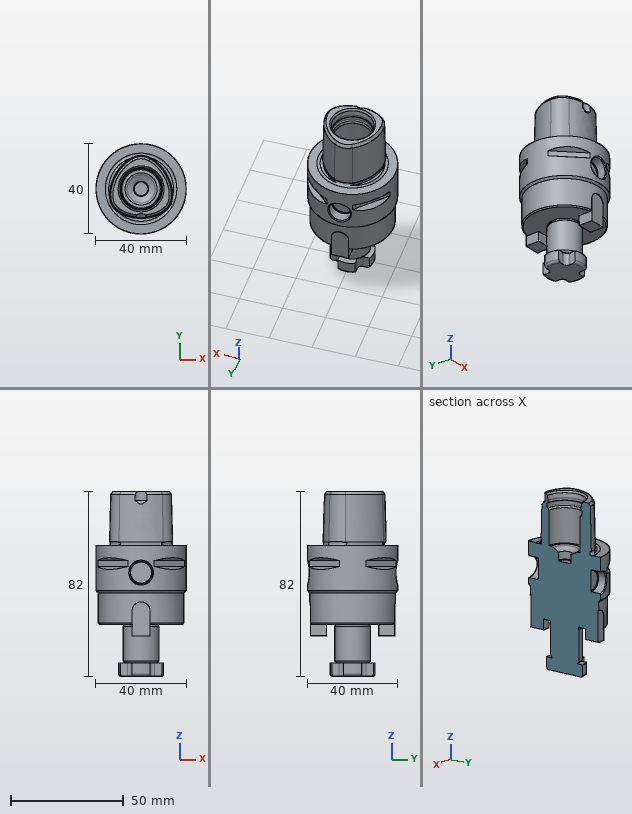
import cadquery as cq
import math


TAPER_RADIUS = 14.0
LOBE_HEIGHT = 0.9
TAPER_SLOPE = 1 / 40
TAPER_FOOT_Z = 1.5
SHANK_TOP_Z = 24.0
RIM_CHAMFER_HEIGHT = 1.4
RIM_CHAMFER_INSET = 1.0
NECK_OVERLAP = 1.0
NECK_STEP = 0.15
FLANK_HALF_ANGLE = 32.0
POINTS_PER_STRETCH = 7

GROOVE_CENTRE_RADIUS = 15.1
GROOVE_CENTRE_Z = 0.75
GROOVE_ROUND = 1.05

NOTCH_RADIUS = 3.0
NOTCH_Y = -13.95
NOTCH_SHOULDER_Z = 20.0

BORE_MOUTH_RADIUS = 10.15
BORE_ENTRY_RADIUS = 9.45
BORE_ENTRY_DEPTH = 0.9
BORE_LIP_RADIUS = 9.0
BORE_LIP_DEPTH = 3.05
BORE_LIP_END_DEPTH = 4.25
BORE_RECESS_DEPTH = 0.5
BORE_RECESS_END_DEPTH = 6.7
BORE_MAIN_RADIUS = 8.5
BORE_MAIN_START_DEPTH = 7.55
BORE_LEDGE_DEPTH = 24.0
BORE_STEP_RADIUS = 7.1
BORE_STEP_HALF_ANGLE = 65.0
DRILL_RADIUS = 12.38 / 2
DRILL_HALF_ANGLE = 59.0
CORE_HOLE_RADIUS = 6.65 / 2
CORE_HOLE_LENGTH = 4.0
CORE_HOLE_BOTTOM_CHAMFER = 0.3

FLANGE_RADIUS = 20.0
FLANGE_BOTTOM_Z = -20.0
BODY_RADIUS = 19.0
BODY_BOTTOM_Z = -35.0
BODY_CHAMFER = 0.6

GRIPPER_Z = -8.0
GRIPPER_FLOOR_DISTANCE = 17.65
GRIPPER_FLOOR_HEIGHT = 2.5
GRIPPER_WALL_ANGLE = 30.0

CROSS_HOLE_Z = -12.0
CROSS_HOLE_RADIUS = 5.0
CROSS_HOLE_RIM_CHAMFER = 0.5
CROSS_HOLE_BOTTOM_RADIUS = 4.65
CROSS_HOLE_BOTTOM_Y = 14.65

KEY_WIDTH = 8.0
KEY_OUTER_Y = 18.7
KEY_INNER_Y = 11.5
KEY_TOP_Z = -25.0
KEY_BOTTOM_Z = -40.0

PILOT_RADIUS = 8.0
PILOT_RELIEF_RADIUS = 15.6 / 2
PILOT_RELIEF_LENGTH = 0.9
PILOT_CHAMFER = 0.9
HEAD_RADIUS = 10.0
HEAD_TOP_Z = -52.0
HEAD_BOTTOM_Z = -58.0
HEAD_ROUND = 1.2
HEAD_TOOTH_WIDTH = 8.0
HEAD_GAP_ROUND = 2.0


def polygon_point(mean_radius, degrees):
    """Point of the lobed outline whose normal points `degrees` away from the -Y direction."""
    turn = math.radians(degrees)
    reach = mean_radius - LOBE_HEIGHT * math.cos(3 * turn)
    slide = 3 * LOBE_HEIGHT * math.sin(3 * turn)
    x = reach * math.sin(turn) + slide * math.cos(turn)
    y = -reach * math.cos(turn) + slide * math.sin(turn)
    return x, y


def polygon_wire(mean_radius, z):
    """Closed outline at height z: three flanks and three lobes, each one smooth curve."""
    def stretch(start, end):
        step = (end - start) / (POINTS_PER_STRETCH - 1)
        points = [polygon_point(mean_radius, start + i * step) for i in range(POINTS_PER_STRETCH)]
        return cq.Edge.makeSpline([cq.Vector(x, y, z) for x, y in points])

    edges = []
    for flank_middle in (0, 120, 240):
        flank_end = flank_middle + FLANK_HALF_ANGLE
        next_flank_start = flank_middle + 120 - FLANK_HALF_ANGLE
        edges.append(stretch(flank_middle - FLANK_HALF_ANGLE, flank_end))
        edges.append(stretch(flank_end, next_flank_start))
    return cq.Wire.assembleEdges(edges)


def polygon_solid(sections):
    """Lobed solid through (mean radius, height) sections, straight between neighbours."""
    body = None
    for lower, upper in zip(sections, sections[1:]):
        piece = cq.Workplane(cq.Solid.makeLoft([polygon_wire(*lower), polygon_wire(*upper)], True))
        body = piece if body is None else body.union(piece)
    return body


def revolved(profile):
    """Solid of revolution about Z from (radius, height) points."""
    return cq.Workplane("XZ").polyline(profile).close().revolve(360, (0, 0, 0), (0, 1, 0))


def make_shank():
    chamfer_start_z = SHANK_TOP_Z - RIM_CHAMFER_HEIGHT
    chamfer_start_radius = TAPER_RADIUS - TAPER_SLOPE * (chamfer_start_z - TAPER_FOOT_Z)
    neck_radius = TAPER_RADIUS - NECK_STEP
    return polygon_solid([(neck_radius, -NECK_OVERLAP), (neck_radius, TAPER_FOOT_Z)]).union(
        polygon_solid([
            (TAPER_RADIUS, TAPER_FOOT_Z),
            (chamfer_start_radius, chamfer_start_z),
            (chamfer_start_radius - RIM_CHAMFER_INSET, SHANK_TOP_Z),
        ])
    )


def make_body():
    step_chamfer = FLANGE_RADIUS - BODY_RADIUS
    relief_end_z = BODY_BOTTOM_Z - PILOT_RELIEF_LENGTH
    return revolved([
        (0, 0),
        (FLANGE_RADIUS, 0),
        (FLANGE_RADIUS, FLANGE_BOTTOM_Z),
        (BODY_RADIUS, FLANGE_BOTTOM_Z - step_chamfer),
        (BODY_RADIUS, BODY_BOTTOM_Z + BODY_CHAMFER),
        (BODY_RADIUS - BODY_CHAMFER, BODY_BOTTOM_Z),
        (PILOT_RELIEF_RADIUS, BODY_BOTTOM_Z),
        (PILOT_RELIEF_RADIUS, relief_end_z),
        (PILOT_RADIUS, relief_end_z),
        (PILOT_RADIUS, HEAD_TOP_Z + PILOT_CHAMFER),
        (PILOT_RADIUS - PILOT_CHAMFER, HEAD_TOP_Z),
        (0, HEAD_TOP_Z),
    ])


def make_head():
    """Screw head: four parallel-sided teeth on X and Y with rounded corners between them."""
    height = HEAD_TOP_Z - HEAD_BOTTOM_Z
    base = cq.Workplane("XY").workplane(offset=HEAD_BOTTOM_Z)
    disc = base.circle(HEAD_RADIUS).extrude(height).faces("<Z").edges().fillet(HEAD_ROUND)
    gap_offset = (HEAD_TOOTH_WIDTH + HEAD_RADIUS) / 2
    gap = (
        base.rect(HEAD_RADIUS, HEAD_RADIUS)
        .extrude(height)
        .edges("|Z")
        .fillet(HEAD_GAP_ROUND)
    )
    for x_sign in (-1, 1):
        for y_sign in (-1, 1):
            disc = disc.cut(gap.translate((x_sign * gap_offset, y_sign * gap_offset, 0)))
    return disc


def make_neck_groove():
    return cq.Workplane(cq.Solid.makeTorus(
        GROOVE_CENTRE_RADIUS, GROOVE_ROUND, cq.Vector(0, 0, GROOVE_CENTRE_Z), cq.Vector(0, 0, 1)
    ))


def make_notch():
    """Drilled notch, open at the shank top and ending in a 90 degree point."""
    drill = revolved([
        (0, NOTCH_SHOULDER_Z - NOTCH_RADIUS),
        (NOTCH_RADIUS, NOTCH_SHOULDER_Z),
        (NOTCH_RADIUS, SHANK_TOP_Z),
        (0, SHANK_TOP_Z),
    ])
    return drill.translate((0, NOTCH_Y, 0))


def cone_length(start_radius, end_radius, half_angle):
    """Axial length of a cone between two radii."""
    return (start_radius - end_radius) / math.tan(math.radians(half_angle))


def make_bore():
    recess_radius = BORE_LIP_RADIUS + BORE_RECESS_DEPTH
    round_reach = BORE_RECESS_DEPTH * math.sqrt(0.5)
    wall_start_depth = BORE_LIP_END_DEPTH + BORE_RECESS_DEPTH
    wall_end_depth = BORE_RECESS_END_DEPTH - BORE_RECESS_DEPTH
    roof_middle = (BORE_LIP_RADIUS + round_reach, round_reach - wall_start_depth)
    floor_middle = (BORE_LIP_RADIUS + round_reach, -wall_end_depth - round_reach)

    drill_depth = BORE_LEDGE_DEPTH + cone_length(BORE_STEP_RADIUS, DRILL_RADIUS, BORE_STEP_HALF_ANGLE)
    core_depth = drill_depth + cone_length(DRILL_RADIUS, CORE_HOLE_RADIUS, DRILL_HALF_ANGLE)
    bottom_depth = core_depth + CORE_HOLE_LENGTH
    return (
        cq.Workplane("XZ", origin=(0, 0, SHANK_TOP_Z))
        .lineTo(BORE_MOUTH_RADIUS, 0)
        .lineTo(BORE_ENTRY_RADIUS, -BORE_ENTRY_DEPTH)
        .lineTo(BORE_LIP_RADIUS, -BORE_LIP_DEPTH)
        .lineTo(BORE_LIP_RADIUS, -BORE_LIP_END_DEPTH)
        .threePointArc(roof_middle, (recess_radius, -wall_start_depth))
        .lineTo(recess_radius, -wall_end_depth)
        .threePointArc(floor_middle, (BORE_LIP_RADIUS, -BORE_RECESS_END_DEPTH))
        .lineTo(BORE_MAIN_RADIUS, -BORE_MAIN_START_DEPTH)
        .lineTo(BORE_MAIN_RADIUS, -BORE_LEDGE_DEPTH)
        .lineTo(BORE_STEP_RADIUS, -BORE_LEDGE_DEPTH)
        .lineTo(DRILL_RADIUS, -drill_depth)
        .lineTo(CORE_HOLE_RADIUS, -core_depth)
        .lineTo(CORE_HOLE_RADIUS, CORE_HOLE_BOTTOM_CHAMFER - bottom_depth)
        .lineTo(CORE_HOLE_RADIUS - CORE_HOLE_BOTTOM_CHAMFER, -bottom_depth)
        .lineTo(0, -bottom_depth)
        .close()
        .revolve(360, (0, 0, 0), (0, 1, 0))
    )


def make_gripper_groove(angle):
    """Trapezoidal groove across the flange, facing the direction `angle` in the XY plane."""
    depth = FLANGE_RADIUS - GRIPPER_FLOOR_DISTANCE
    half_floor = GRIPPER_FLOOR_HEIGHT / 2
    half_mouth = half_floor + depth * math.tan(math.radians(GRIPPER_WALL_ANGLE))
    return (
        cq.Workplane("XZ")
        .polyline([
            (GRIPPER_FLOOR_DISTANCE, GRIPPER_Z - half_floor),
            (GRIPPER_FLOOR_DISTANCE, GRIPPER_Z + half_floor),
            (FLANGE_RADIUS, GRIPPER_Z + half_mouth),
            (FLANGE_RADIUS, GRIPPER_Z - half_mouth),
        ])
        .close()
        .extrude(FLANGE_RADIUS, both=True)
        .rotate((0, 0, 0), (0, 0, 1), angle)
    )


def make_cross_hole():
    """Blind hole on the -Y side with a chamfered bottom corner."""
    bottom_chamfer = CROSS_HOLE_RADIUS - CROSS_HOLE_BOTTOM_RADIUS
    profile = [
        (0, -CROSS_HOLE_BOTTOM_Y),
        (CROSS_HOLE_BOTTOM_RADIUS, -CROSS_HOLE_BOTTOM_Y),
        (CROSS_HOLE_RADIUS, -CROSS_HOLE_BOTTOM_Y - bottom_chamfer),
        (CROSS_HOLE_RADIUS, -FLANGE_RADIUS),
        (0, -FLANGE_RADIUS),
    ]
    hole = cq.Workplane("XY").polyline(profile).close().revolve(360, (0, 0, 0), (0, 1, 0))
    return hole.translate((0, 0, CROSS_HOLE_Z))


def chamfer_cross_hole_rim(part, side):
    """Break the hole's rim on the flange surface; side is -1 for -Y and +1 for +Y."""
    reach = CROSS_HOLE_RADIUS + CROSS_HOLE_RIM_CHAMFER
    rim_y = math.sqrt(FLANGE_RADIUS ** 2 - reach ** 2)
    rim_box = cq.selectors.BoxSelector(
        (-reach, side * rim_y, CROSS_HOLE_Z - reach),
        (reach, side * (FLANGE_RADIUS + reach), CROSS_HOLE_Z + reach),
        boundingbox=True,
    )
    return part.edges(rim_box).chamfer(CROSS_HOLE_RIM_CHAMFER)


def make_key_block(inner_y, outer_y):
    """Round-topped block on the -Y side between two distances from the axis."""
    half_width = KEY_WIDTH / 2
    return (
        cq.Workplane("XZ", origin=(0, -inner_y, 0))
        .moveTo(-half_width, KEY_BOTTOM_Z)
        .lineTo(half_width, KEY_BOTTOM_Z)
        .lineTo(half_width, KEY_TOP_Z - half_width)
        .threePointArc((0, KEY_TOP_Z), (-half_width, KEY_TOP_Z - half_width))
        .close()
        .extrude(outer_y - inner_y)
    )


def on_side(tool, side):
    """Place a tool made for the -Y side (-1), turning it half round for the +Y side (+1)."""
    return tool if side < 0 else tool.rotate((0, 0, 0), (0, 0, 1), 180)


result = make_body().union(make_head()).union(make_shank())
result = result.cut(make_neck_groove()).cut(make_notch()).cut(make_bore())

for groove_angle in (45, 135, 225, 315):
    result = result.cut(make_gripper_groove(groove_angle))

for hole_side in (-1, 1):
    result = result.cut(on_side(make_cross_hole(), hole_side))
    result = chamfer_cross_hole_rim(result, hole_side)

for key_side in (-1, 1):
    result = result.cut(on_side(make_key_block(KEY_OUTER_Y, FLANGE_RADIUS), key_side))
    result = result.union(on_side(make_key_block(KEY_INNER_Y, KEY_OUTER_Y), key_side))